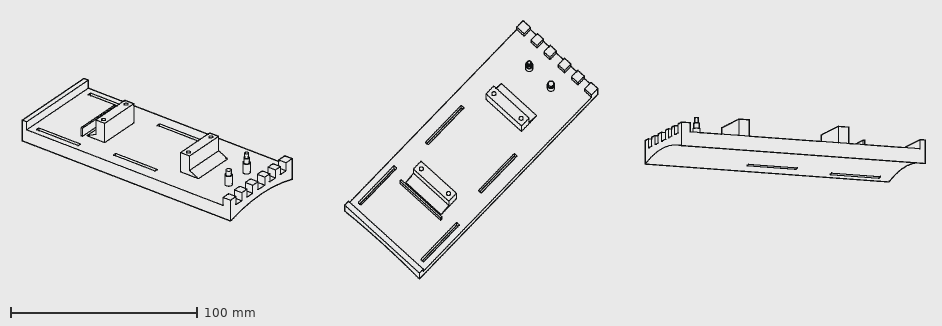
import cadquery as cq
import math

LENGTH = 140.0
WIDTH = 55.0
FLOOR_Z = 8.0
SADDLE_RADIUS = 98.5

WALL_HEIGHT = 5.0
RIM_THICKNESS = 3.0
FIN_X = 30.0
FIN_THICKNESS = 1.0
FIN_WIDTH = 30.0

COMB_THICKNESS = 5.0
MIDDLE_NOTCH_WIDTH = 6.0
SIDE_NOTCH_WIDTH = 5.0
SIDE_NOTCH_CENTERS_Y = (-20.0, -10.25, 10.0, 19.5)

MOUNT_CENTER_X = LENGTH / 2
MOUNT_HOLE_SPACING_X = 57.0
MOUNT_HOLE_SPACING_Y = 20.0
MOUNT_HOLE_DIAMETER = 2.2
MOUNT_HOLE_DEPTH = 10.0
MOUNT_THICKNESS = 6.0
MOUNT_WIDTH = 26.0
MOUNT_HEIGHT = 12.0
RAMP_LENGTH = 6.0
RAMP_HEIGHT = 3.0

SLOT_LENGTH = 28.0
END_SLOT_X = 21.0
END_SLOT_Y = 23.0
END_SLOT_WIDTH = 2.0
MIDDLE_SLOT_Y = 19.5
MIDDLE_SLOT_WIDTH = 2.0

POST_X = 124.0
POST_Y = 8.0
POST_STEPS = [(4.0, 6.0), (3.0, 3.0), (2.0, 3.0)]
SHORT_POST_STEPS = POST_STEPS[:2]


def box_on_floor(x_start, length, width, height):
    """Box centred on y = 0, standing on the floor and starting at x_start."""
    return cq.Workplane("XY", origin=(x_start + length / 2, 0, FLOOR_Z)).box(
        length, width, height, centered=(True, True, False)
    )


def make_plate():
    """Flat plate whose underside is hollowed by a shallow arc along the length."""
    half_width = WIDTH / 2
    sagitta = SADDLE_RADIUS - math.sqrt(SADDLE_RADIUS**2 - half_width**2)
    return (
        cq.Workplane("YZ")
        .moveTo(-half_width, FLOOR_Z)
        .lineTo(-half_width, 0)
        .threePointArc((0, sagitta), (half_width, 0))
        .lineTo(half_width, FLOOR_Z)
        .close()
        .extrude(LENGTH)
    )


def make_comb():
    """End wall divided into teeth by notches that reach down to the floor."""
    comb_x = LENGTH - COMB_THICKNESS
    comb = box_on_floor(comb_x, COMB_THICKNESS, WIDTH, WALL_HEIGHT)
    notch = box_on_floor(comb_x, COMB_THICKNESS, SIDE_NOTCH_WIDTH, WALL_HEIGHT)
    for notch_y in SIDE_NOTCH_CENTERS_Y:
        comb = comb.cut(notch.translate((0, notch_y, 0)))
    return comb.cut(box_on_floor(comb_x, COMB_THICKNESS, MIDDLE_NOTCH_WIDTH, WALL_HEIGHT))


def make_mount(side):
    """Block with two screw holes and a ramp facing side (-1 or +1) along X."""
    center_x = MOUNT_CENTER_X + side * MOUNT_HOLE_SPACING_X / 2
    inner_x = center_x - side * MOUNT_THICKNESS / 2
    outer_x = center_x + side * MOUNT_THICKNESS / 2
    top_z = FLOOR_Z + MOUNT_HEIGHT
    block = (
        cq.Workplane("XZ")
        .moveTo(inner_x, FLOOR_Z)
        .lineTo(inner_x, top_z)
        .lineTo(outer_x, top_z)
        .lineTo(outer_x, FLOOR_Z + RAMP_HEIGHT)
        .lineTo(outer_x + side * RAMP_LENGTH, FLOOR_Z)
        .close()
        .extrude(MOUNT_WIDTH / 2, both=True)
    )
    holes = (
        cq.Workplane("XY", origin=(center_x, 0, top_z))
        .rarray(1, MOUNT_HOLE_SPACING_Y, 1, 2)
        .circle(MOUNT_HOLE_DIAMETER / 2)
        .extrude(-MOUNT_HOLE_DEPTH)
    )
    return block.cut(holes)


def make_post(y, steps):
    """Stack of coaxial cylinders rising from the floor."""
    post = cq.Workplane("XY")
    step_z = FLOOR_Z
    for diameter, height in steps:
        step = cq.Workplane("XY", origin=(POST_X, y, step_z)).circle(diameter / 2).extrude(height)
        post = post.add(step)
        step_z += height
    return post.combine()


def make_slot_pair(center_x, offset_y, width):
    """Cutters for two lengthwise slots placed symmetrically about y = 0."""
    return (
        cq.Workplane("XY", origin=(center_x, 0, 0))
        .rarray(1, 2 * offset_y, 1, 2)
        .rect(SLOT_LENGTH, width)
        .extrude(FLOOR_Z)
    )


result = make_plate()
result = result.cut(make_slot_pair(END_SLOT_X, END_SLOT_Y, END_SLOT_WIDTH))
result = result.cut(make_slot_pair(MOUNT_CENTER_X, MIDDLE_SLOT_Y, MIDDLE_SLOT_WIDTH))
result = result.union(box_on_floor(0, RIM_THICKNESS, WIDTH, WALL_HEIGHT))
result = result.union(box_on_floor(FIN_X, FIN_THICKNESS, FIN_WIDTH, WALL_HEIGHT))
result = result.union(make_comb())
for mount_side in (-1, 1):
    result = result.union(make_mount(mount_side))
result = result.union(make_post(POST_Y, POST_STEPS))
result = result.union(make_post(-POST_Y, SHORT_POST_STEPS))